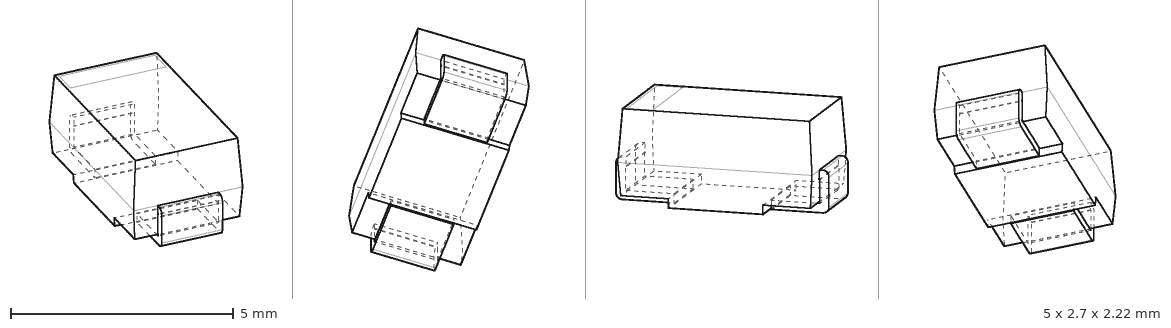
import math

import cadquery as cq

BODY_LENGTH = 4.56
BODY_WIDTH = 2.70
BODY_HEIGHT = 2.22
PARTING_HEIGHT = 1.00
DRAFT_ANGLE = 4.0
CENTRE_PAD_LENGTH = 2.22

LEAD_THICKNESS = 0.22
LEAD_HEIGHT = 0.99
LEAD_WIDTH = 1.50
LEAD_BEND_RADIUS = 0.147
LEAD_TO_PAD_GAP = 0.03
OUTER_LENGTH = BODY_LENGTH + 2 * LEAD_THICKNESS

MARK_LENGTH = 0.60
MARK_MARGIN = 0.08
MARK_DEPTH = 0.05

TOP_INSET = (BODY_HEIGHT - PARTING_HEIGHT) * math.tan(math.radians(DRAFT_ANGLE))


def drafted_half(height):
    """One mould half: a block tapering away from the parting plane; negative heights go down."""
    return (
        cq.Workplane("XY")
        .workplane(offset=PARTING_HEIGHT)
        .rect(BODY_LENGTH, BODY_WIDTH)
        .extrude(height, taper=DRAFT_ANGLE)
    )


def lead_channel(side):
    """Clear space under the body at one end, as high as the lead is thick."""
    length = (BODY_LENGTH - CENTRE_PAD_LENGTH) / 2
    centre_x = side * (CENTRE_PAD_LENGTH + length) / 2
    return (
        cq.Workplane("XY")
        .box(length, BODY_WIDTH, LEAD_THICKNESS, centered=(True, True, False))
        .translate((centre_x, 0, 0))
    )


def make_body():
    body = drafted_half(BODY_HEIGHT - PARTING_HEIGHT).union(drafted_half(-PARTING_HEIGHT))
    for side in (-1, 1):
        body = body.cut(lead_channel(side))
    return body


def make_lead(side):
    """C-shaped lead: the top leg enters the body and the foot runs below it."""
    outer_x = OUTER_LENGTH / 2
    foot_end_x = CENTRE_PAD_LENGTH / 2 + LEAD_TO_PAD_GAP
    length = outer_x - foot_end_x
    opening_length = length - LEAD_THICKNESS
    opening_height = LEAD_HEIGHT - 2 * LEAD_THICKNESS

    blank = (
        cq.Workplane("XY")
        .box(length, LEAD_WIDTH, LEAD_HEIGHT, centered=(True, True, False))
        .edges("|Y and >X")
        .fillet(LEAD_BEND_RADIUS)
        .translate(((outer_x + foot_end_x) / 2, 0, 0))
    )
    opening = (
        cq.Workplane("XY")
        .box(opening_length, LEAD_WIDTH, opening_height, centered=(False, True, False))
        .translate((foot_end_x, 0, LEAD_THICKNESS))
    )
    lead = blank.cut(opening)
    return lead if side > 0 else lead.mirror("YZ")


def make_polarity_mark():
    """Rectangular inlay beside the -X edge of the top face."""
    top_length = BODY_LENGTH - 2 * TOP_INSET
    top_width = BODY_WIDTH - 2 * TOP_INSET
    return (
        cq.Workplane("XY")
        .box(MARK_LENGTH, top_width - 2 * MARK_MARGIN, MARK_DEPTH, centered=(False, True, False))
        .translate((MARK_MARGIN - top_length / 2, 0, BODY_HEIGHT - MARK_DEPTH))
    )


part = make_body()
for lead_side in (-1, 1):
    part = part.union(make_lead(lead_side))

mark = make_polarity_mark()
result = part.cut(mark).union(mark, clean=False).solids()